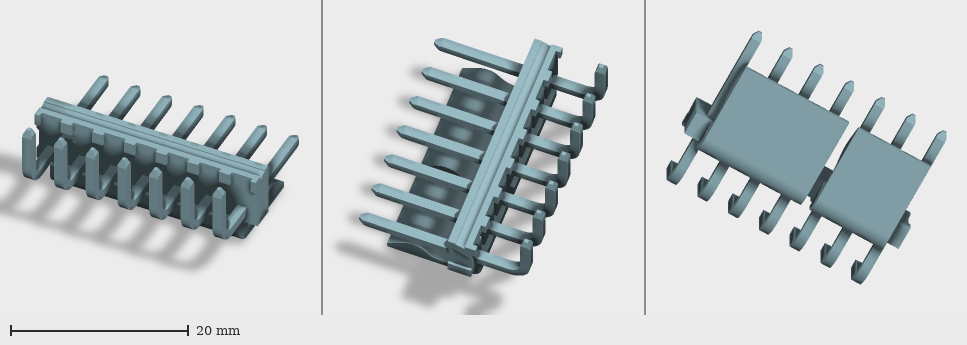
import cadquery as cq
import math


PIN_COUNT = 7
PITCH = 3.96
PIN_WIDTH = 1.14
PIN_REAR_Y = 11.28
PIN_FRONT_Y = -9.32
PIN_TOP_Z = 7.67
BEND_OUTER_RADIUS = 2.64
TIP_SIDE_LENGTH = 0.65
TIP_FLAT_LENGTH = 0.96
TIP_SIDE_WIDTH = 0.4
TIP_FLAT_WIDTH = 0.5

BODY_LENGTH = 27.58
BODY_DEPTH = 2.8
BODY_TOP_Z = 5.06
BODY_BOTTOM_Z = -1.73

TOP_GROOVE_REAR_Y = -0.9
TOP_GROOVE_FRONT_Y = -2.05
TOP_GROOVE_FLOOR_WIDTH = 0.2
TOP_GROOVE_STEP = 0.12
TOP_GROOVE_DEPTH = 0.48
TOP_GROOVE_ARC_BULGE = 0.06

TAB_WIDTH = 1.33
END_TAB_WIDTH = 0.62
TAB_HEIGHT = 1.53
TAB_DEPTH = 0.55
TAB_FRONT_Y = -BODY_DEPTH - TAB_DEPTH
FLUTE_WIDTH = 0.96
FLUTE_DEPTH = 0.4
WINDOW_WIDTH = 2.05
WINDOW_BOTTOM_Z = 2.12
WINDOW_TOP_Z = 3.19

NOTCH_DEPTH = 0.3
NOTCH_BOTTOM_Z = -0.2
NOTCH_REAR_Z = 4.05
NOTCH_FRONT_Z = 2.62
NOTCH_TAPER = 0.3

LATCH_SPANS = ((-11.88, -2.62), (-1.4, 11.88))
LATCH_BOTTOM_Z = -4.88
LATCH_FRONT_Y = TAB_FRONT_Y
LATCH_REAR_Y = 7.99
LATCH_THICKNESS = 0.79
CREST_Y = 4.69
CREST_HEIGHT = 3.03
CREST_RADIUS = 1.73
RAMP_RADIUS = 1.95
THROAT_RADIUS = 0.68
LATCH_BEND_RADIUS = 1.9

CUT_MARGIN = 1.0

pin_positions = [(i - (PIN_COUNT - 1) / 2) * PITCH for i in range(PIN_COUNT)]
gap_positions = [x + PITCH / 2 for x in pin_positions[:-1]]


def box(x_range, y_range, z_range):
    """Box between pairs of X, Y and Z limits."""
    size = [limits[1] - limits[0] for limits in (x_range, y_range, z_range)]
    corner = (x_range[0], y_range[0], z_range[0])
    return cq.Workplane("XY").box(*size, centered=False).translate(corner)


def round_edge_along_x(solid, x, y, z, radius):
    """Round the edge parallel to X whose midpoint is (x, y, z)."""
    return solid.edges(cq.selectors.NearestToPointSelector((x, y, z))).fillet(radius)


def make_housing():
    half = BODY_LENGTH / 2
    groove_top_z = BODY_TOP_Z - TOP_GROOVE_STEP
    groove_floor_z = BODY_TOP_Z - TOP_GROOVE_DEPTH
    arc_end_y = TOP_GROOVE_FRONT_Y + TOP_GROOVE_FLOOR_WIDTH
    arc_middle = (
        (TOP_GROOVE_REAR_Y + arc_end_y) / 2,
        (groove_top_z + groove_floor_z) / 2 + TOP_GROOVE_ARC_BULGE,
    )
    return (
        cq.Workplane("YZ", origin=(-half, 0, 0))
        .moveTo(0, BODY_BOTTOM_Z)
        .lineTo(0, BODY_TOP_Z)
        .lineTo(TOP_GROOVE_REAR_Y, BODY_TOP_Z)
        .lineTo(TOP_GROOVE_REAR_Y, groove_top_z)
        .threePointArc(arc_middle, (arc_end_y, groove_floor_z))
        .lineTo(TOP_GROOVE_FRONT_Y, groove_floor_z)
        .lineTo(TOP_GROOVE_FRONT_Y, BODY_TOP_Z)
        .lineTo(-BODY_DEPTH, BODY_TOP_Z)
        .lineTo(-BODY_DEPTH, BODY_BOTTOM_Z)
        .close()
        .extrude(BODY_LENGTH)
    )


def add_tabs(housing):
    """Tabs at the top front edge, one between each pair of pins and one at each end."""
    half = BODY_LENGTH / 2
    spans = [(x - TAB_WIDTH / 2, x + TAB_WIDTH / 2) for x in gap_positions]
    spans += [(-half, -half + END_TAB_WIDTH), (half - END_TAB_WIDTH, half)]
    for span in spans:
        tab = box(span, (TAB_FRONT_Y, -BODY_DEPTH), (BODY_TOP_Z - TAB_HEIGHT, BODY_TOP_Z))
        housing = housing.union(tab)
    return housing


def cut_flutes(housing):
    """Vertical front flutes; the two outermost stop short at the window sill height."""
    for x in gap_positions:
        outermost = x in (gap_positions[0], gap_positions[-1])
        top_z = WINDOW_BOTTOM_Z if outermost else BODY_TOP_Z - TAB_HEIGHT
        flute = box(
            (x - FLUTE_WIDTH / 2, x + FLUTE_WIDTH / 2),
            (-BODY_DEPTH - CUT_MARGIN, -BODY_DEPTH + FLUTE_DEPTH),
            (BODY_BOTTOM_Z, top_z),
        )
        housing = housing.cut(flute)
    return housing


def cut_window(housing):
    """Keying window through the housing, above the first flute."""
    x = gap_positions[0]
    window = box(
        (x - WINDOW_WIDTH / 2, x + WINDOW_WIDTH / 2),
        (-BODY_DEPTH - CUT_MARGIN, CUT_MARGIN),
        (WINDOW_BOTTOM_Z, WINDOW_TOP_Z),
    )
    return housing.cut(window)


def cut_end_notch(housing):
    """Shallow notch in the -X end whose roof slopes down to the front and inwards."""

    def section(x, roof_drop):
        return (
            cq.Workplane("YZ", origin=(x, 0, 0))
            .polyline([
                (0, NOTCH_BOTTOM_Z),
                (0, NOTCH_REAR_Z - roof_drop),
                (-BODY_DEPTH, NOTCH_FRONT_Z - roof_drop),
                (-BODY_DEPTH, NOTCH_BOTTOM_Z),
            ])
            .close()
            .wires()
            .val()
        )

    end_x = -BODY_LENGTH / 2
    sections = [section(end_x, 0), section(end_x + NOTCH_DEPTH, NOTCH_TAPER)]
    return housing.cut(cq.Workplane(cq.Solid.makeLoft(sections, True)))


def make_latch(x_start, x_end):
    """Spring latch: a throat under the housing, a flat arm and a rounded crest at its rear."""
    arm_top_z = LATCH_BOTTOM_Z + LATCH_THICKNESS
    crest_z = LATCH_BOTTOM_Z + CREST_HEIGHT
    ramp_foot_y = CREST_Y - (crest_z - arm_top_z)
    throat_y = -(BODY_BOTTOM_Z - arm_top_z)
    latch = (
        cq.Workplane("YZ", origin=(x_start, 0, 0))
        .polyline([
            (0, BODY_BOTTOM_Z),
            (throat_y, arm_top_z),
            (ramp_foot_y, arm_top_z),
            (CREST_Y, crest_z),
            (LATCH_REAR_Y, arm_top_z),
            (LATCH_REAR_Y, LATCH_BOTTOM_Z),
            (LATCH_FRONT_Y, LATCH_BOTTOM_Z),
            (LATCH_FRONT_Y, BODY_BOTTOM_Z),
        ])
        .close()
        .extrude(x_end - x_start)
    )
    middle_x = (x_start + x_end) / 2
    latch = round_edge_along_x(latch, middle_x, CREST_Y, crest_z, CREST_RADIUS)
    latch = round_edge_along_x(latch, middle_x, ramp_foot_y, arm_top_z, RAMP_RADIUS)
    latch = round_edge_along_x(latch, middle_x, throat_y, arm_top_z, THROAT_RADIUS)
    return round_edge_along_x(latch, middle_x, LATCH_FRONT_Y, LATCH_BOTTOM_Z, LATCH_BEND_RADIUS)


def make_tapered_leg(length):
    """Square leg rising from the origin along Z, with a four-sided tapered tip at its top."""

    def outline(plane, tip_width, tip_length):
        half = PIN_WIDTH / 2
        return (
            cq.Workplane(plane)
            .polyline([
                (-half, 0),
                (-half, length - tip_length),
                (-tip_width / 2, length),
                (tip_width / 2, length),
                (half, length - tip_length),
                (half, 0),
            ])
            .close()
            .extrude(half, both=True)
        )

    across_x = outline("XZ", TIP_SIDE_WIDTH, TIP_SIDE_LENGTH)
    across_y = outline("YZ", TIP_FLAT_WIDTH, TIP_FLAT_LENGTH)
    return across_x.intersect(across_y)


def make_pin():
    """Right-angle pin: a leg to the rear, a bend at the front and a leg upwards."""
    half = PIN_WIDTH / 2
    upright_y = PIN_FRONT_Y + half
    bend_y = PIN_FRONT_Y + BEND_OUTER_RADIUS
    bend_radius = BEND_OUTER_RADIUS - half
    bend_middle = (
        bend_y - bend_radius * math.cos(math.pi / 4),
        bend_radius - bend_radius * math.sin(math.pi / 4),
    )
    path = (
        cq.Workplane("YZ")
        .moveTo(bend_y, 0)
        .threePointArc(bend_middle, (upright_y, bend_radius))
    )
    bend = cq.Workplane("XZ", origin=(0, bend_y, 0)).rect(PIN_WIDTH, PIN_WIDTH).sweep(path)
    upright = make_tapered_leg(PIN_TOP_Z - bend_radius).translate((0, upright_y, bend_radius))
    rear_leg = (
        make_tapered_leg(PIN_REAR_Y - bend_y)
        .rotate((0, 0, 0), (1, 0, 0), -90)
        .translate((0, bend_y, 0))
    )
    return rear_leg.union(bend).union(upright)


result = cut_end_notch(cut_window(cut_flutes(add_tabs(make_housing()))))
for x_start, x_end in LATCH_SPANS:
    result = result.union(make_latch(x_start, x_end))
pin = make_pin()
for pin_x in pin_positions:
    result = result.union(pin.translate((pin_x, 0, 0)))